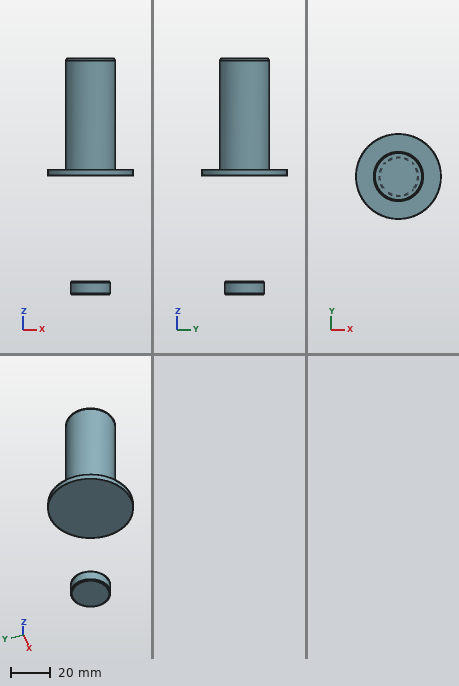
import cadquery as cq

flange_diameter = 43.0
flange_thickness = 3.0
shaft_diameter = 25.0
shaft_length = 56.0
shaft_chamfer_height = 1.2
shaft_chamfer_width = 0.7

disc_diameter = 20.0
disc_thickness = 6.6
disc_chamfer = 0.6

overall_height = 119.0

pin_height = flange_thickness + shaft_length
flange_base_z = overall_height - pin_height


def make_flanged_pin():
    """Round shaft with a chamfered top end, standing on a thin flange."""
    flange = (
        cq.Workplane("XY", origin=(0, 0, flange_base_z))
        .circle(flange_diameter / 2)
        .extrude(flange_thickness)
    )
    shaft = (
        cq.Workplane("XY", origin=(0, 0, flange_base_z))
        .circle(shaft_diameter / 2)
        .extrude(pin_height)
        .faces(">Z")
        .chamfer(shaft_chamfer_height, shaft_chamfer_width)
    )
    return flange.union(shaft)


def make_disc():
    """Small separate disc with both rims chamfered."""
    return (
        cq.Workplane("XY")
        .circle(disc_diameter / 2)
        .extrude(disc_thickness)
        .faces("<Z or >Z")
        .chamfer(disc_chamfer)
    )


flanged_pin = make_flanged_pin()
disc = make_disc()

result = cq.Compound.makeCompound([flanged_pin.val(), disc.val()])